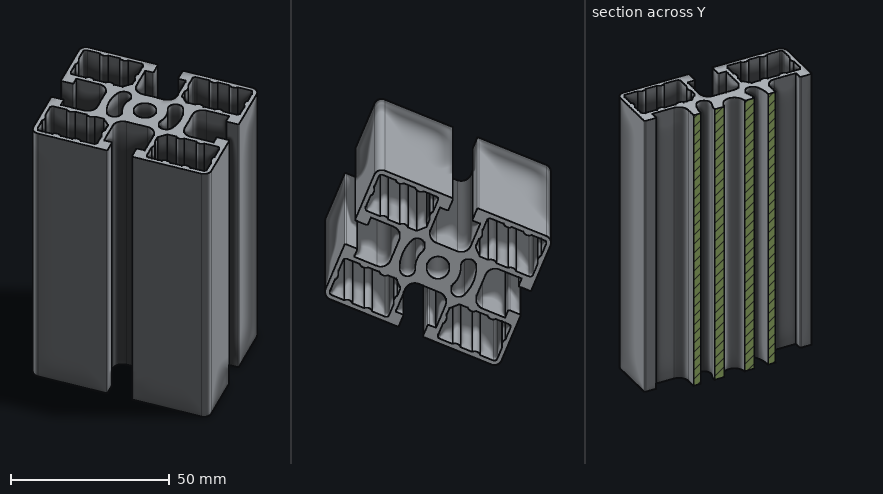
import cadquery as cq
import math

WIDTH = 60.0
DEPTH = 45.0
LENGTH = 100.0
CORNER_RADIUS = 2.5
WALL = 1.5

SLOT_OPENING = 8.2
SLOT_INNER_WIDTH = 13.7
LIP_THICKNESS = 4.3
LIP_RADIUS = 0.4
SLOT_FLOOR_RADIUS = 3.3
FLOOR_X = 14.7
FLOOR_Y = 7.2

CELL_X_MIN = SLOT_INNER_WIDTH / 2 + WALL
CELL_X_MAX = WIDTH / 2 - WALL
CELL_Y_MIN = SLOT_INNER_WIDTH / 2 + WALL
CELL_Y_MAX = DEPTH / 2 - WALL
CELL_CHAMFER = 2.4
CELL_RADIUS = CORNER_RADIUS - WALL

RIDGE_WIDTH = 2.8
LONG_WALL_RIDGE_HEIGHT = 0.6
SHORT_WALL_RIDGE_HEIGHT = 0.5

BORE_DIAMETER = 7.2
KIDNEY_MID_RADIUS = 9.6
KIDNEY_WIDTH = 4.9
KIDNEY_HALF_ANGLE = 24.5

MIRROR_SIGNS = [(1, 1), (-1, 1), (-1, -1), (1, -1)]


def block(x_min, x_max, y_min, y_max):
    """Full-length box between the given limits."""
    return (
        cq.Workplane("XY")
        .center((x_min + x_max) / 2, (y_min + y_max) / 2)
        .rect(x_max - x_min, y_max - y_min)
        .extrude(LENGTH)
    )


def t_slot(side_distance, floor_distance, angle):
    """T-slot cutter opening toward +X, turned by angle about Z."""
    lip_inner = side_distance - LIP_THICKNESS
    half_inner = SLOT_INNER_WIDTH / 2
    chamber = block(floor_distance, lip_inner, -half_inner, half_inner)
    chamber = chamber.edges("|Z and <X").fillet(SLOT_FLOOR_RADIUS)
    half_opening = SLOT_OPENING / 2
    mouth = block(floor_distance + SLOT_FLOOR_RADIUS, side_distance, -half_opening, half_opening)
    return chamber.union(mouth).rotate((0, 0, 0), (0, 0, 1), angle)


def round_lips(body):
    """Round the inner and outer edges of every slot mouth."""
    half_opening = SLOT_OPENING / 2
    half_height = LENGTH / 2
    for sign_x, sign_y in MIRROR_SIGNS:
        for inset in (0, LIP_THICKNESS):
            x_slot_edge = (sign_x * (WIDTH / 2 - inset), sign_y * half_opening, half_height)
            y_slot_edge = (sign_x * half_opening, sign_y * (DEPTH / 2 - inset), half_height)
            for point in (x_slot_edge, y_slot_edge):
                body = body.edges(cq.selectors.NearestToPointSelector(point)).fillet(LIP_RADIUS)
    return body


def ridge(x, y, height, inward_angle):
    """Ridge at a wall point, rising along inward_angle (degrees)."""
    half_width = RIDGE_WIDTH / 2
    profile = (
        cq.Workplane("XY")
        .moveTo(0, -half_width)
        .threePointArc((height, 0), (0, half_width))
        .close()
    )
    return profile.extrude(LENGTH).rotate((0, 0, 0), (0, 0, 1), inward_angle).translate((x, y, 0))


def corner_cell():
    """Cutter for the +X +Y cell: chamfered next to the core, rounded elsewhere, less its ridges."""
    cell = block(CELL_X_MIN, CELL_X_MAX, CELL_Y_MIN, CELL_Y_MAX)
    core_corner = cq.selectors.NearestToPointSelector((CELL_X_MIN, CELL_Y_MIN, LENGTH / 2))
    slot_corner = cq.selectors.NearestToPointSelector((CELL_X_MIN, CELL_Y_MAX, LENGTH / 2))
    cell = cell.edges(core_corner).chamfer(CELL_CHAMFER)
    cell = cell.edges(slot_corner).fillet(CELL_RADIUS)
    cell = cell.edges("|Z and >X").fillet(CELL_RADIUS)

    third = (CELL_X_MAX - CELL_X_MIN) / 3
    for x in (CELL_X_MIN + third, CELL_X_MAX - third):
        cell = cell.cut(ridge(x, CELL_Y_MIN, LONG_WALL_RIDGE_HEIGHT, 90))
        cell = cell.cut(ridge(x, CELL_Y_MAX, LONG_WALL_RIDGE_HEIGHT, -90))
    middle_y = (CELL_Y_MIN + CELL_Y_MAX) / 2
    cell = cell.cut(ridge(CELL_X_MIN, middle_y, SHORT_WALL_RIDGE_HEIGHT, 0))
    return cell.cut(ridge(CELL_X_MAX, middle_y, SHORT_WALL_RIDGE_HEIGHT, 180))


def polar(radius, degrees):
    angle = math.radians(degrees)
    return (radius * math.cos(angle), radius * math.sin(angle))


def kidney():
    """Cutter for the +X curved slot, concentric with the bore and with round ends."""
    inner = KIDNEY_MID_RADIUS - KIDNEY_WIDTH / 2
    outer = KIDNEY_MID_RADIUS + KIDNEY_WIDTH / 2
    end = KIDNEY_HALF_ANGLE
    end_x, end_y = polar(KIDNEY_MID_RADIUS, end)
    tip_x, tip_y = polar(KIDNEY_WIDTH / 2, end + 90)
    return (
        cq.Workplane("XY")
        .moveTo(*polar(outer, -end))
        .threePointArc((outer, 0), polar(outer, end))
        .threePointArc((end_x + tip_x, end_y + tip_y), polar(inner, end))
        .threePointArc((inner, 0), polar(inner, -end))
        .threePointArc((end_x + tip_x, -end_y - tip_y), polar(outer, -end))
        .close()
        .extrude(LENGTH)
    )


body = cq.Workplane("XY").rect(WIDTH, DEPTH).extrude(LENGTH)
body = body.edges("|Z").fillet(CORNER_RADIUS)

for angle in (0, 180):
    body = body.cut(t_slot(WIDTH / 2, FLOOR_X, angle))
for angle in (90, 270):
    body = body.cut(t_slot(DEPTH / 2, FLOOR_Y, angle))
body = round_lips(body)

cell_right = corner_cell()
for cell in (cell_right, cell_right.mirror("YZ")):
    body = body.cut(cell).cut(cell.mirror("XZ"))

bore = cq.Workplane("XY").circle(BORE_DIAMETER / 2).extrude(LENGTH)
body = body.cut(bore).cut(kidney()).cut(kidney().mirror("YZ"))

result = body